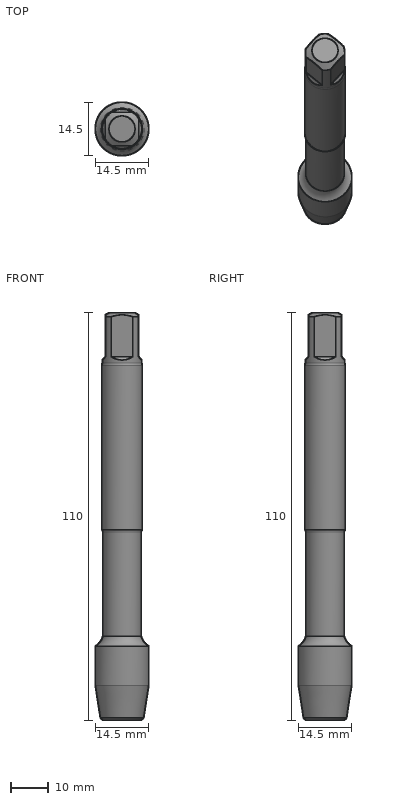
import cadquery as cq
import math

total_length = 110.0

head_radius = 14.5 / 2
tip_radius = 10.5 / 2
tip_chamfer_radius = 11.8 / 2
tip_chamfer_height = 0.7
taper_top_z = 9.5
head_top_z = 20.0

neck_radius = 10.5 / 2
shank_radius = 11.0 / 2
flare_height = 2.6
flare_sagitta = 0.3
shank_bottom_z = 51.4
shank_step_height = 0.5
step_sagitta = 0.1
shank_top_z = 95.8
shank_chamfer_height = 0.7

drive_radius = 10.7 / 2
drive_width = 9.0
flat_bottom_z = 98.1
runout_angle = 42.0
top_face_radius = 7.0 / 2
top_chamfer_height = 1.1


def make_head():
    """Plain cylinder with a conical lead and a chamfered tip."""
    return (
        cq.Workplane("XZ")
        .moveTo(0, 0)
        .lineTo(tip_radius, 0)
        .lineTo(tip_chamfer_radius, tip_chamfer_height)
        .lineTo(head_radius, taper_top_z)
        .lineTo(head_radius, head_top_z)
        .lineTo(0, head_top_z)
        .close()
        .revolve(360, (0, 0, 0), (0, 1, 0))
    )


def make_turned_shank():
    """Flared neck, stepped shank and round drive end, before the flats are cut."""
    flare_top_z = head_top_z + flare_height
    step_bottom_z = shank_bottom_z - shank_step_height
    return (
        cq.Workplane("XZ")
        .moveTo(0, head_top_z)
        .lineTo(head_radius, head_top_z)
        .sagittaArc((neck_radius, flare_top_z), flare_sagitta)
        .lineTo(neck_radius, step_bottom_z)
        .sagittaArc((shank_radius, shank_bottom_z), step_sagitta)
        .lineTo(shank_radius, shank_top_z)
        .lineTo(drive_radius, shank_top_z + shank_chamfer_height)
        .lineTo(drive_radius, total_length - top_chamfer_height)
        .lineTo(top_face_radius, total_length)
        .lineTo(0, total_length)
        .close()
        .revolve(360, (0, 0, 0), (0, 1, 0))
    )


def make_flat_cutter():
    """Prism that cuts the +X flat and the sloping runout at its foot."""
    flat_x = drive_width / 2
    runout_depth = shank_radius - flat_x
    runout_height = runout_depth / math.tan(math.radians(runout_angle))
    return (
        cq.Workplane("XZ")
        .moveTo(flat_x, total_length)
        .lineTo(flat_x, flat_bottom_z)
        .lineTo(shank_radius, flat_bottom_z - runout_height)
        .lineTo(shank_radius, total_length)
        .close()
        .extrude(shank_radius, both=True)
    )


def make_shank():
    """Turned shank with four flats forming the square drive."""
    shank = make_turned_shank()
    flat_cutter = make_flat_cutter()
    for angle in (0, 90, 180, 270):
        shank = shank.cut(flat_cutter.rotate((0, 0, 0), (0, 0, 1), angle))
    return shank


head = make_head()
shank = make_shank()

result = cq.Compound.makeCompound([head.val(), *shank.solids().vals()])